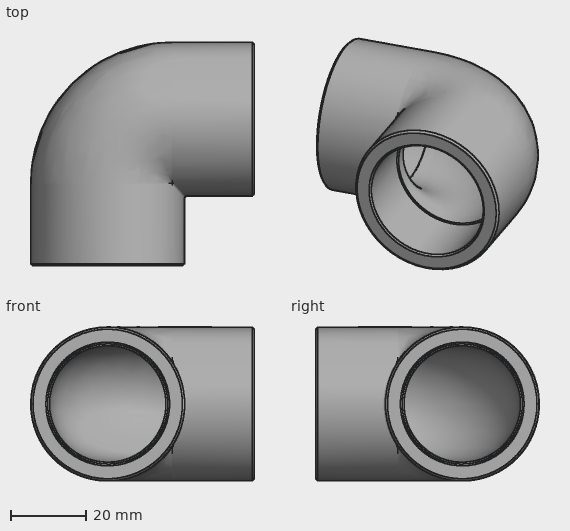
import cadquery as cq
import math

overall_length = 59.5
outer_diameter = 41.0
socket_diameter = 32.0
bore_diameter = 31.0
collar_length = 21.9
socket_depth = 19.0
rim_chamfer = 0.6
mouth_chamfer = 0.5
crotch_radius = 0.5
crotch_overlap = 3.0

outer_radius = outer_diameter / 2
end_distance = overall_length - outer_radius
bend_radius = end_distance - collar_length
bend_angle = 90


def collar_along_x():
    """Solid cylinder from the end of the bend to the +X end, rim chamfered."""
    collar = (
        cq.Workplane("YZ", origin=(bend_radius, 0, 0))
        .circle(outer_radius)
        .extrude(collar_length)
    )
    return collar.faces(">X").edges().chamfer(rim_chamfer)


def socket_along_x():
    """Chamfered socket cavity at the +X end and the bore that joins it to the bend."""
    socket_radius = socket_diameter / 2
    profile = [
        (end_distance - socket_depth, 0),
        (end_distance - socket_depth, socket_radius),
        (end_distance - mouth_chamfer, socket_radius),
        (end_distance, socket_radius + mouth_chamfer),
        (end_distance, 0),
    ]
    cavity = cq.Workplane("XY").polyline(profile).close()
    cavity = cavity.revolve(360, (0, 0, 0), (1, 0, 0))
    bore = (
        cq.Workplane("YZ", origin=(bend_radius, 0, 0))
        .circle(bore_diameter / 2)
        .extrude(collar_length - socket_depth)
    )
    return cavity.union(bore)


def toward_minus_y(x_shape):
    """Turn a shape on the +X leg about the elbow's diagonal onto the -Y leg."""
    return x_shape.rotate((0, 0, 0), (1, -1, 0), 180)


def quarter_bend(section):
    """Solid swept by a section on the +X leg turning about the bend axis to the -Y leg."""
    axis_start = cq.Vector(bend_radius, -bend_radius, 0)
    axis_end = axis_start + cq.Vector(0, 0, 0.6)
    face = cq.Face.makeFromWires(section.wire().val())
    return cq.Solid.revolve(face, bend_angle, axis_start, axis_end)


def outer_bend():
    """Outer quarter bend, its round section cut off where it would pass the bend axis."""
    half_width = math.sqrt(outer_radius**2 - bend_radius**2)
    section = (
        cq.Workplane("YZ", origin=(bend_radius, 0, 0))
        .moveTo(-bend_radius, -half_width)
        .threePointArc((outer_radius, 0), (-bend_radius, half_width))
        .close()
    )
    return cq.Workplane(obj=quarter_bend(section).toNURBS())


def bore_bend():
    """Round quarter bend of the bore."""
    section = cq.Workplane("YZ", origin=(bend_radius, 0, 0)).circle(bore_diameter / 2)
    return cq.Workplane(obj=quarter_bend(section))


def crotch_fillet():
    """Crossed collars with a rounded inside corner, kept only beyond the bend axis."""
    leg_start = bend_radius - crotch_overlap
    leg = (
        cq.Workplane("YZ", origin=(leg_start, 0, 0))
        .circle(outer_radius)
        .extrude(end_distance - leg_start - rim_chamfer)
    )
    crossed = leg.union(toward_minus_y(leg))
    crossed = crossed.edges("%ELLIPSE").fillet(crotch_radius)
    beyond_axis = cq.Workplane("XY").box(
        end_distance, end_distance, outer_diameter, centered=(False, False, True)
    ).translate((bend_radius, -bend_radius - end_distance, 0))
    return crossed.intersect(beyond_axis)


collar = collar_along_x()
socket = socket_along_x()
body = outer_bend().union(collar).union(toward_minus_y(collar)).union(crotch_fillet())
result = body.cut(bore_bend()).cut(socket).cut(toward_minus_y(socket))